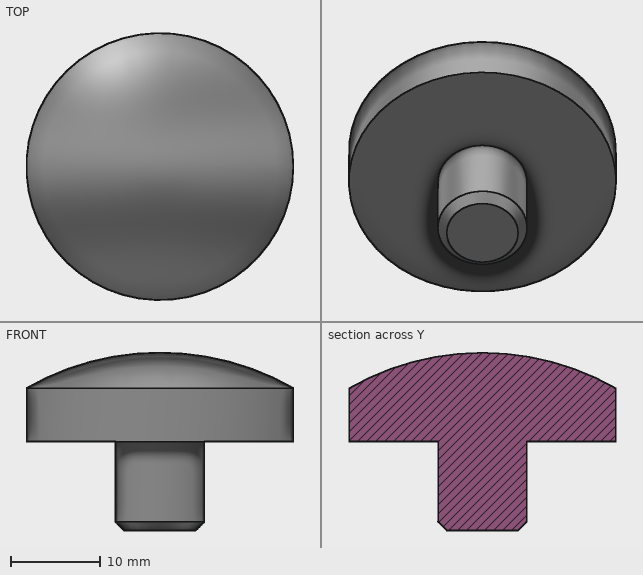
import cadquery as cq

head_diameter = 30.0
rim_height = 6.0
stem_diameter = head_diameter / 3
stem_length = head_diameter / 3
dome_height = 2 * rim_height / 3
tip_chamfer = stem_diameter / 10

head_radius = head_diameter / 2
stem_radius = stem_diameter / 2

dome_top = rim_height + dome_height

sphere_radius = (head_radius**2 + dome_height**2) / (2 * dome_height)
sphere_center_z = dome_top - sphere_radius


def make_head():
    """Cylindrical disc with its top bounded by a sphere."""
    disc = cq.Workplane("XY").circle(head_radius).extrude(dome_top)
    sphere = cq.Workplane("XY").sphere(sphere_radius).translate((0, 0, sphere_center_z))
    return disc.intersect(sphere)


def make_stem():
    """Round pin below the head with a chamfered tip."""
    stem = cq.Workplane("XY").circle(stem_radius).extrude(-stem_length)
    return stem.faces("<Z").chamfer(tip_chamfer)


result = make_head().union(make_stem())